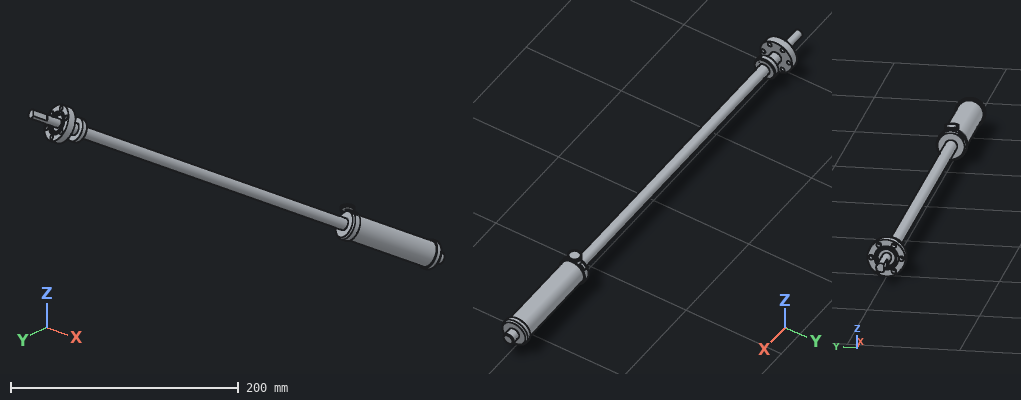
import cadquery as cq
import math

length = 463.5
flat_end = 15.5
flange_start, flange_end = 28.5, 36.0
collar_start, collar_end = 49.0, 54.5
front_ring_start, front_ring_end = 353.5, 361.0
rear_ring_start, rear_ring_end = 448.5, 454.5

shaft_dia = 8.5
flange_dia = 34.0
rod_dia = 11.0
collar_dia = 22.3
ring_dia = 27.0
handle_dia = 24.0

shaft_flat_depth = 1.5
ring_chamfer_length, ring_chamfer_depth = 2.0, 1.5
collar_chamfer = 1.0
tail_chamfer = 1.0

bolt_count = 6
bolt_circle_dia = 27.0
bolt_hole_dia = 4.0

recess_dia = 21.5
recess_depth = 1.0
knife_dia = 18.0
knife_height = 0.5
bore_dia = 15.8
bore_depth = 2.5

set_screw_angle = 48
set_screw_dia = 4.0

slot_width = 3.5
slot_depth = 0.5
slot_first_angle, slot_last_angle = 30, 60

screw_x = 357.5
screw_shank_dia = 3.5
knob_dia = 12.5
knob_waist_dia = 10.5
height = 35.0
knob_top = height - flange_dia / 2
knob_thickness = 3.0
knob_rim = 0.5


def cylinder_x(start, end, diameter):
    """Solid cylinder about the X axis between two stations."""
    return cq.Workplane("YZ", origin=(start, 0, 0)).circle(diameter / 2).extrude(end - start)


def make_shaft():
    """Thin shaft with a flat at the tip of its -Y side."""
    shaft = cylinder_x(0, flange_end, shaft_dia)
    removed = cq.Workplane("XY").box(flat_end, shaft_flat_depth, shaft_dia, centered=(False, False, True))
    return shaft.cut(removed.translate((0, -shaft_dia / 2, 0)))


def make_flange():
    """Round flange with a sealing recess and through holes, the first on the Y axis."""
    flange = cylinder_x(flange_start, flange_end, flange_dia)
    holes = (
        cq.Workplane("YZ", origin=(flange_start, 0, 0))
        .polarArray(bolt_circle_dia / 2, 0, 360, bolt_count)
        .circle(bolt_hole_dia / 2)
        .extrude(flange_end - flange_start)
    )
    recess_floor = flange_start + recess_depth
    recess_profile = [
        (flange_start, 0),
        (flange_start, recess_dia / 2),
        (recess_floor, recess_dia / 2),
        (recess_floor - knife_height, knife_dia / 2),
        (recess_floor, bore_dia / 2),
        (flange_start + bore_depth, bore_dia / 2),
        (flange_start + bore_depth, 0),
    ]
    recess = cq.Workplane("XY").polyline(recess_profile).close().revolve(360, (0, 0, 0), (1, 0, 0))
    return flange.cut(holes).cut(recess)


def make_collar():
    """Shaft collar with a radial set screw hole facing -Y and up."""
    collar = cylinder_x(collar_start, collar_end, collar_dia).faces(">X").chamfer(collar_chamfer)
    middle = (collar_start + collar_end) / 2
    hole = cq.Workplane("XY", origin=(middle, 0, 0)).circle(set_screw_dia / 2).extrude(collar_dia)
    return collar.cut(hole.rotate((0, 0, 0), (1, 0, 0), 90 - set_screw_angle))


def make_ring_slot():
    """Arc-shaped cutter for the slot on the -Y side of the front ring."""
    start = screw_x - slot_width / 2
    end = screw_x + slot_width / 2
    band = cylinder_x(start, end, ring_dia).cut(cylinder_x(start, end, ring_dia - 2 * slot_depth))

    def ray_end(angle):
        """Point well outside the ring, at an angle measured from -Y up towards +Z."""
        return (-ring_dia * math.cos(math.radians(angle)), ring_dia * math.sin(math.radians(angle)))

    wedge = (
        cq.Workplane("YZ", origin=(start, 0, 0))
        .polyline([(0, 0), ray_end(slot_first_angle), ray_end(slot_last_angle)])
        .close()
        .extrude(slot_width)
    )
    return band.intersect(wedge)


def make_ring(start, end, outer_face):
    """Handle end ring, chamfered around the face that looks away from the barrel."""
    return cylinder_x(start, end, ring_dia).faces(outer_face).chamfer(ring_chamfer_length, ring_chamfer_depth)


def make_handle():
    """Handle barrel between two chamfered end rings."""
    slot = make_ring_slot()
    front_ring = make_ring(front_ring_start, front_ring_end, "<X").cut(slot).cut(slot.mirror("XZ"))
    rear_ring = make_ring(rear_ring_start, rear_ring_end, ">X")
    barrel = cylinder_x(front_ring_end, rear_ring_start, handle_dia)
    return front_ring.union(barrel).union(rear_ring)


def make_thumbscrew():
    """Vertical shank with a knob waisted between two thin rims."""
    knob_bottom = knob_top - knob_thickness
    profile = [
        (0, rod_dia / 2),
        (screw_shank_dia / 2, rod_dia / 2),
        (screw_shank_dia / 2, knob_bottom),
        (knob_dia / 2, knob_bottom),
        (knob_dia / 2, knob_bottom + knob_rim),
        (knob_waist_dia / 2, knob_bottom + knob_rim),
        (knob_waist_dia / 2, knob_top - knob_rim),
        (knob_dia / 2, knob_top - knob_rim),
        (knob_dia / 2, knob_top),
        (0, knob_top),
    ]
    screw = cq.Workplane("XZ").polyline(profile).close().revolve(360, (0, 0, 0), (0, 1, 0))
    return screw.translate((screw_x, 0, 0))


rod = cylinder_x(flange_end, length, rod_dia).faces(">X").chamfer(tail_chamfer)
result = make_shaft().union(make_flange()).union(make_collar()).union(rod)
result = result.union(make_handle()).union(make_thumbscrew())